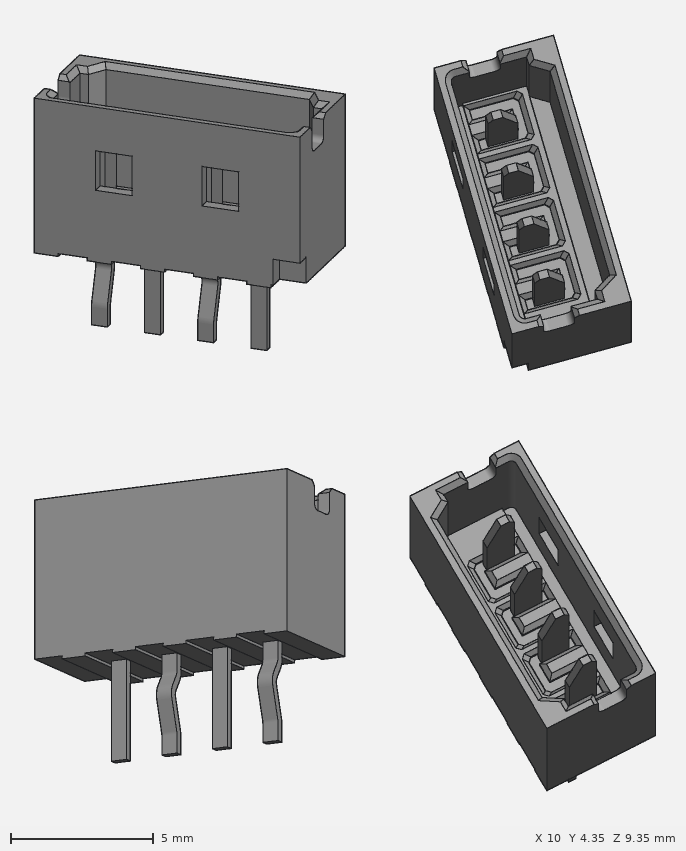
import cadquery as cq
import math


LENGTH = 10.0
DEPTH = 4.35
HEIGHT = 5.85
PITCH = 2.0
PIN_COUNT = 4
FIRST_PIN_X = -3.55
PIN_XS = [FIRST_PIN_X + i * PITCH for i in range(PIN_COUNT)]
EMBED = 0.8

WALL = 0.45
CAVITY_BACK_Y = 3.24
CAVITY_HALF = LENGTH / 2 - WALL
CAVITY_CORNER_RADIUS = 0.2
RIM_CHAMFER = 0.21
FLOOR_Z = 1.58

CHANNEL_BACK_Y = 3.89
CHANNEL_HALF_MOUTH = 4.23
CHANNEL_END_ANGLE = 58.0

PLATFORM_FRONT_Y = 0.91
LOW_FLOOR_Z = 1.3

RECESS_LENGTH = 1.82
RECESS_BACK_Y = 3.02
RECESS_FLOOR_Z = LOW_FLOOR_Z
RECESS_BEVEL_X = 0.15
RECESS_BEVEL = 0.18
RECESS_CORNER = 0.15
TONGUE_WIDTH = 0.76
TONGUE_BACK_Y = 2.55

NOTCH_FRONT_Y = 1.16
NOTCH_BACK_Y = 2.28
NOTCH_DEPTH = 1.02
NOTCH_FLARE = 0.18
NOTCH_RADIUS = 0.23

WINDOW_SPACING = 4.0
WINDOW_WIDTH = 1.38
WINDOW_BOTTOM_Z = 2.71
WINDOW_TOP_Z = 4.2

FOOT_HEIGHT = 0.11
GAP_LENGTH = 1.09
CORNER_POCKET_LENGTH = 1.01
CORNER_POCKET_DEPTH = 0.6
CORNER_POCKET_TOP_Z = 1.09

BLADE_OFFSET_X = 0.53
BLADE_THICKNESS = 0.3
BLADE_FRONT_Y = 1.36
BLADE_BACK_Y = 2.45
BLADE_TOP_FRONT_Y = 1.55
BLADE_TOP_BACK_Y = 1.9
BLADE_TOP_Z = HEIGHT - NOTCH_DEPTH
BLADE_FRONT_BEVEL_HEIGHT = 0.29
BLADE_BACK_TAPER_HEIGHT = 1.4

PIN_WIDTH = 0.6
PIN_THICKNESS = 0.3
PIN_FRONT_Y = 2.55
PIN_BOTTOM_Z = -3.5
KINK_TOP_Z = -0.72
KINK_APEX_Z = -1.37
KINK_BOTTOM_Z = -2.72
KINK_OFFSET = 0.44
BEND_RADIUS = 0.3


def block(x0, x1, y0, y1, z0, z1):
    """Box given by its limits along each axis."""
    return cq.Workplane("XY").box(x1 - x0, y1 - y0, z1 - z0, centered=False).translate((x0, y0, z0))


def plate(yz_points, center_x, width):
    """Y-Z profile extruded along X, centred on center_x."""
    start = center_x - width / 2
    return cq.Workplane("YZ", origin=(start, 0, 0)).polyline(yz_points).close().extrude(width)


def make_shell():
    """Housing block with the open cavity, its back channel and the bevelled rim."""
    end_run = (CHANNEL_BACK_Y - CAVITY_BACK_Y) / math.tan(math.radians(CHANNEL_END_ANGLE))
    channel_half_back = CHANNEL_HALF_MOUTH - end_run
    channel_outline = [
        (-CHANNEL_HALF_MOUTH, CAVITY_BACK_Y),
        (-channel_half_back, CHANNEL_BACK_Y),
        (channel_half_back, CHANNEL_BACK_Y),
        (CHANNEL_HALF_MOUTH, CAVITY_BACK_Y),
        (CHANNEL_HALF_MOUTH, PLATFORM_FRONT_Y),
        (-CHANNEL_HALF_MOUTH, PLATFORM_FRONT_Y),
    ]
    cavity = block(-CAVITY_HALF, CAVITY_HALF, WALL, CAVITY_BACK_Y, LOW_FLOOR_Z, HEIGHT)
    cavity = cavity.edges("|Z and <Y").fillet(CAVITY_CORNER_RADIUS)
    channel = cq.Workplane("XY", origin=(0, 0, LOW_FLOOR_Z)).polyline(channel_outline).close()
    cavity = cavity.union(channel.extrude(HEIGHT - LOW_FLOOR_Z))

    shell = block(-LENGTH / 2, LENGTH / 2, 0, DEPTH, 0, HEIGHT).cut(cavity)
    margin = RIM_CHAMFER
    inner_rim = cq.selectors.BoxSelector(
        (-LENGTH / 2 + margin, margin, HEIGHT - margin),
        (LENGTH / 2 - margin, DEPTH - margin, HEIGHT + margin),
    )
    shell = shell.edges(inner_rim).chamfer(RIM_CHAMFER)
    platform = block(-CAVITY_HALF, CAVITY_HALF, PLATFORM_FRONT_Y, CAVITY_BACK_Y, LOW_FLOOR_Z, FLOOR_Z)
    return shell.union(platform)


def recess_outline(inset_x, inset_y):
    """Recess outline about x = 0 with its two back corners cut off."""
    half = RECESS_LENGTH / 2 - inset_x
    front = PLATFORM_FRONT_Y + inset_y
    back = RECESS_BACK_Y - inset_y
    return [
        (-half, front),
        (half, front),
        (half, back - RECESS_CORNER),
        (half - RECESS_CORNER, back),
        (-half + RECESS_CORNER, back),
        (-half, back - RECESS_CORNER),
    ]


def make_recess():
    """Volume removed around one contact: a bevelled recess less the tongue."""
    bevel_bottom_z = FLOOR_Z - RECESS_BEVEL
    lower = recess_outline(RECESS_BEVEL_X, RECESS_BEVEL)
    upper = recess_outline(0, 0)
    well = cq.Workplane("XY", origin=(0, 0, RECESS_FLOOR_Z)).polyline(lower).close()
    well = well.extrude(bevel_bottom_z - RECESS_FLOOR_Z)
    bevel = cq.Workplane("XY", origin=(0, 0, bevel_bottom_z)).polyline(lower).close()
    bevel = bevel.workplane(offset=RECESS_BEVEL).polyline(upper).close().loft(ruled=True)
    half = TONGUE_WIDTH / 2
    tongue = block(-half, half, PLATFORM_FRONT_Y, TONGUE_BACK_Y, RECESS_FLOOR_Z, FLOOR_Z)
    tongue = tongue.edges(">Z and (<X or >X or >Y)").chamfer(RECESS_BEVEL)
    return well.union(bevel).cut(tongue)


def make_notch():
    """Flared slot with rounded bottom corners, crossing both end walls."""
    bottom_z = HEIGHT - NOTCH_DEPTH
    slot = block(-LENGTH / 2, LENGTH / 2, NOTCH_FRONT_Y, NOTCH_BACK_Y, bottom_z, HEIGHT)
    slot = slot.edges("|X and <Z").fillet(NOTCH_RADIUS)
    flare = [
        (NOTCH_FRONT_Y - NOTCH_FLARE, HEIGHT),
        (NOTCH_BACK_Y + NOTCH_FLARE, HEIGHT),
        (NOTCH_BACK_Y, HEIGHT - NOTCH_FLARE),
        (NOTCH_FRONT_Y, HEIGHT - NOTCH_FLARE),
    ]
    return slot.union(plate(flare, 0, LENGTH))


def make_window(center_x):
    half = WINDOW_WIDTH / 2
    return block(center_x - half, center_x + half, 0, WALL, WINDOW_BOTTOM_Z, WINDOW_TOP_Z)


def cut_underside(body):
    """Gaps between the feet at each pin and at the +X end, plus the front corner pocket."""
    gap_centers = PIN_XS + [PIN_XS[-1] + PITCH]
    for center_x in gap_centers:
        start = center_x - GAP_LENGTH / 2
        end = LENGTH / 2 if center_x == gap_centers[-1] else center_x + GAP_LENGTH / 2
        body = body.cut(block(start, end, 0, DEPTH, 0, FOOT_HEIGHT))
    pocket_x = LENGTH / 2 - CORNER_POCKET_LENGTH
    return body.cut(block(pocket_x, LENGTH / 2, 0, CORNER_POCKET_DEPTH, 0, CORNER_POCKET_TOP_Z))


def make_blade(pin_x):
    """Upright contact blade beside the tongue, tapered at the back and bevelled in front."""
    profile = [
        (BLADE_FRONT_Y, EMBED),
        (BLADE_FRONT_Y, BLADE_TOP_Z - BLADE_FRONT_BEVEL_HEIGHT),
        (BLADE_TOP_FRONT_Y, BLADE_TOP_Z),
        (BLADE_TOP_BACK_Y, BLADE_TOP_Z),
        (BLADE_BACK_Y, BLADE_TOP_Z - BLADE_BACK_TAPER_HEIGHT),
        (BLADE_BACK_Y, EMBED),
    ]
    return plate(profile, pin_x + BLADE_OFFSET_X, BLADE_THICKNESS)


def make_straight_pin(pin_x):
    half = PIN_WIDTH / 2
    back_y = PIN_FRONT_Y + PIN_THICKNESS
    return block(pin_x - half, pin_x + half, PIN_FRONT_Y, back_y, PIN_BOTTOM_Z, EMBED)


def make_kinked_pin(pin_x):
    """Strip of constant thickness bent out to the back and in again, with rounded bends."""
    upper_lean = math.atan2(KINK_OFFSET, KINK_TOP_Z - KINK_APEX_Z)
    lower_lean = -math.atan2(KINK_OFFSET, KINK_APEX_Z - KINK_BOTTOM_Z)
    leans = [0, upper_lean, lower_lean, 0]
    front = [
        (PIN_FRONT_Y, KINK_TOP_Z),
        (PIN_FRONT_Y + KINK_OFFSET, KINK_APEX_Z),
        (PIN_FRONT_Y, KINK_BOTTOM_Z),
    ]
    back = []
    for (y, z), lean_above, lean_below in zip(front, leans, leans[1:]):
        mean = (lean_above + lean_below) / 2
        reach = PIN_THICKNESS / math.cos((lean_below - lean_above) / 2)
        back.append((y + reach * math.cos(mean), z + reach * math.sin(mean)))

    back_y = PIN_FRONT_Y + PIN_THICKNESS
    outline = [(PIN_FRONT_Y, EMBED)] + front + [(PIN_FRONT_Y, PIN_BOTTOM_Z), (back_y, PIN_BOTTOM_Z)]
    outline += back[::-1] + [(back_y, EMBED)]
    pin = plate(outline, pin_x, PIN_WIDTH)

    inside_bends = [back[0], front[1], back[2]]
    outside_bends = [front[0], back[1], front[2]]
    for bends, radius in ((inside_bends, BEND_RADIUS), (outside_bends, BEND_RADIUS + PIN_THICKNESS)):
        for y, z in bends:
            pin = pin.edges(cq.selectors.NearestToPointSelector((pin_x, y, z))).fillet(radius)
    return pin


body = make_shell()
body = body.cut(make_notch())
for window_x in (-WINDOW_SPACING / 2, WINDOW_SPACING / 2):
    body = body.cut(make_window(window_x))
recess = make_recess()
for pin_x in PIN_XS:
    body = body.cut(recess.translate((pin_x, 0, 0)))
body = cut_underside(body)

for index, pin_x in enumerate(PIN_XS):
    pin = make_kinked_pin(pin_x) if index % 2 == 0 else make_straight_pin(pin_x)
    body = body.union(pin).union(make_blade(pin_x))

result = body